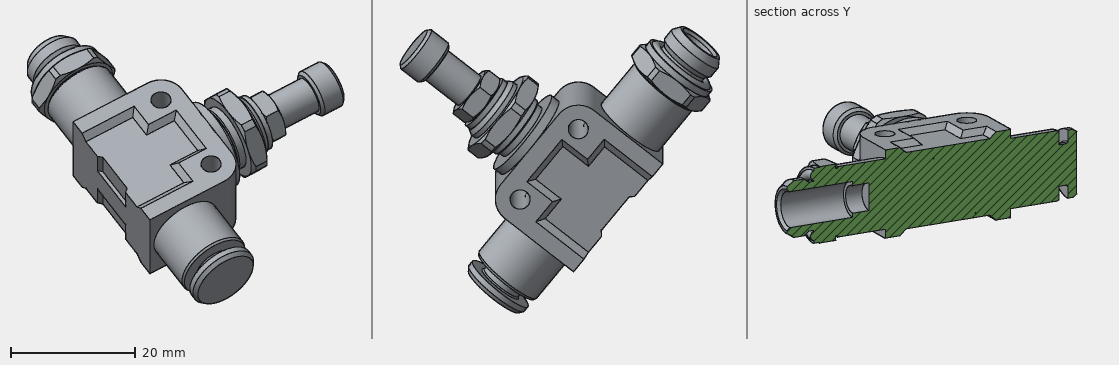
import cadquery as cq
import math


hexagon_corner_ratio = 1 / math.cos(math.radians(30))
nut_chamfer_angle = 30.0

block_width = 23.0
block_thickness = 15.0
block_front_y = -6.75
block_back_y = 11.5
block_corner_radius = 4.0
mount_hole_diameter = 3.2
mount_hole_offset = 7.5

recess_depth = 1.0
recess_half_width = 8.8
recess_floor_half_width = 7.65
recess_step_y = 3.2
recess_neck_half_width = 4.5
recess_top_y = 8.5

notch_depth = 0.65
notch_half_width = 4.25
notch_inner_z = 2.5

pipe_radius = 6.0
left_end_x = -29.5
left_face_radius = 4.0
nipple_radius = 4.85
nipple_front_x = -28.2
nipple_back_x = -26.35
nipple_neck_x = -25.5
nipple_neck_radius = 4.2
washer_x = -24.6
washer_radius = 6.4
seal_section_radius = 0.9
seal_tip_x = -25.2
pipe_nut_x = -23.5
pipe_nut_width = 3.0
pipe_nut_flats = 13.0
pipe_nut_corners = 14.5
pipe_left_x = -20.2
pipe_relief_radius = 5.75
pipe_right_x = 20.35
pipe_chamfer_length = 0.4
pipe_chamfer_height = 0.2

collar_neck_radius = 3.55
collar_x = 21.95
collar_radius = 5.8
collar_root_chamfer = 0.25
collar_chamfer_length = 0.7
collar_chamfer_height = 0.5
right_end_x = 23.6

bore_mouth_radius = 3.5
bore_radius = 3.0
bore_depth = 12.0
inner_bore_radius = 2.3
inner_bore_depth = 15.0

flange_radius = 7.5
flange_y = 13.0
barrel_neck_radius = 5.0
barrel_radius = 5.45
barrel_y = 14.1
barrel_chamfer = 0.2
barrel_cone_y = 19.3
barrel_shoulder_y = 20.1
barrel_cone_tip_radius = 4.95
barrel_tip_radius = 4.8
panel_nut_y = 15.5
panel_nut_width = 3.0
panel_nut_flats = 14.0
panel_nut_corners = 15.5
lock_nut_y = 21.0
lock_nut_width = 3.0
lock_nut_flats = 8.0
lock_nut_corners = lock_nut_flats * hexagon_corner_ratio
stem_radius = 3.0
knob_y = 31.0
knob_end_y = 35.5
knob_radius = 4.0
knob_chamfer = 0.5


def make_block():
    center_y = (block_front_y + block_back_y) / 2
    block = (
        cq.Workplane("XY")
        .center(0, center_y)
        .box(block_width, block_back_y - block_front_y, block_thickness)
        .edges("|Z and >Y")
        .fillet(block_corner_radius)
    )
    hole_centers = [(-mount_hole_offset, mount_hole_offset), (mount_hole_offset, mount_hole_offset)]
    holes = (
        cq.Workplane("XY")
        .pushPoints(hole_centers)
        .circle(mount_hole_diameter / 2)
        .extrude(block_thickness, both=True)
    )
    return block.cut(holes)


def make_sloped_pocket(face_half_width, floor_half_width, top_y):
    """Pocket cutter in the upper face with sloped walls, open through the front of the block."""
    floor_top_y = top_y - recess_depth
    face_center_y = (block_front_y + top_y) / 2
    floor_center_y = (block_front_y + floor_top_y) / 2
    return (
        cq.Workplane("XY", origin=(0, 0, block_thickness / 2))
        .center(0, face_center_y)
        .rect(2 * face_half_width, top_y - block_front_y)
        .workplane(offset=-recess_depth)
        .center(0, floor_center_y - face_center_y)
        .rect(2 * floor_half_width, floor_top_y - block_front_y)
        .loft(ruled=True)
    )


def make_recess():
    """T-shaped recess cutter made of a wide pocket and a longer narrow one."""
    wide = make_sloped_pocket(recess_half_width, recess_floor_half_width, recess_step_y)
    neck_floor_half_width = recess_neck_half_width - recess_depth
    neck = make_sloped_pocket(recess_neck_half_width, neck_floor_half_width, recess_top_y)
    return wide.union(neck)


def make_notch():
    """Notch cutter for the upper half of the front face, with 45 degree side walls."""
    floor_y = block_front_y + notch_depth
    floor_half_width = notch_half_width - notch_depth
    outline = [
        (-notch_half_width, block_front_y),
        (notch_half_width, block_front_y),
        (floor_half_width, floor_y),
        (-floor_half_width, floor_y),
    ]
    return (
        cq.Workplane("XY", origin=(0, 0, notch_inner_z))
        .polyline(outline)
        .close()
        .extrude(block_thickness / 2 - notch_inner_z)
    )


def revolve_about_x(outline):
    """Solid of revolution from (x, radius) points."""
    return cq.Workplane("XY").polyline(outline).close().revolve(360, (0, 0), (1, 0))


def revolve_about_y(outline):
    """Solid of revolution from (radius, y) points."""
    return cq.Workplane("XY").polyline(outline).close().revolve(360, (0, 0), (0, 1))


def make_nut(plane, flats, corners, width):
    """Hexagon nut extruded along the plane normal, its corners turned down and chamfered."""
    hexagon = plane.polygon(6, flats * hexagon_corner_ratio).extrude(width)
    chamfer_height = (corners - flats) / 2
    chamfer_length = chamfer_height * math.tan(math.radians(nut_chamfer_angle))
    middle = plane.workplane(offset=chamfer_length).circle(corners / 2).extrude(width - 2 * chamfer_length)
    taper = 90 - nut_chamfer_angle
    near_end = (
        plane.workplane(offset=chamfer_length)
        .circle(corners / 2)
        .extrude(-chamfer_length, taper=taper)
    )
    far_end = (
        plane.workplane(offset=width - chamfer_length)
        .circle(corners / 2)
        .extrude(chamfer_length, taper=taper)
    )
    return hexagon.intersect(middle.union(near_end).union(far_end))


def make_pipe_run():
    """Left nipple, washer, both pipes and release collar as one turned body."""
    return revolve_about_x([
        (left_end_x, 0),
        (left_end_x, left_face_radius),
        (nipple_front_x, nipple_radius),
        (nipple_back_x, nipple_radius),
        (nipple_neck_x, nipple_neck_radius),
        (washer_x, nipple_neck_radius),
        (washer_x, washer_radius),
        (pipe_nut_x, washer_radius),
        (pipe_nut_x, pipe_relief_radius),
        (pipe_left_x, pipe_relief_radius),
        (pipe_left_x, pipe_radius),
        (pipe_right_x - pipe_chamfer_length, pipe_radius),
        (pipe_right_x, pipe_radius - pipe_chamfer_height),
        (pipe_right_x, collar_neck_radius),
        (collar_x - collar_root_chamfer, collar_neck_radius),
        (collar_x, collar_neck_radius + collar_root_chamfer),
        (collar_x, collar_radius),
        (right_end_x - collar_chamfer_length, collar_radius),
        (right_end_x, collar_radius - collar_chamfer_height),
        (right_end_x, 0),
    ])


def make_seal_ring():
    """Round-section ring lying on the nipple neck against the washer."""
    center_x = seal_tip_x + seal_section_radius
    center_radius = nipple_neck_radius + seal_section_radius
    return (
        cq.Workplane("XY")
        .center(center_x, center_radius)
        .circle(seal_section_radius)
        .revolve(360, (0, -center_radius), (1, -center_radius))
    )


def make_bore():
    mouth_chamfer = bore_mouth_radius - bore_radius
    return revolve_about_x([
        (left_end_x, 0),
        (left_end_x, bore_mouth_radius),
        (left_end_x + mouth_chamfer, bore_radius),
        (left_end_x + bore_depth, bore_radius),
        (left_end_x + bore_depth, inner_bore_radius),
        (left_end_x + inner_bore_depth, inner_bore_radius),
        (left_end_x + inner_bore_depth, 0),
    ])


def make_stem():
    """Flange, threaded barrel, stem and knob as one turned body."""
    return revolve_about_y([
        (0, block_back_y),
        (flange_radius, block_back_y),
        (flange_radius, flange_y),
        (barrel_neck_radius, flange_y),
        (barrel_neck_radius, barrel_y),
        (barrel_radius - barrel_chamfer, barrel_y),
        (barrel_radius, barrel_y + barrel_chamfer),
        (barrel_radius, barrel_cone_y),
        (barrel_cone_tip_radius, barrel_shoulder_y),
        (barrel_tip_radius, barrel_shoulder_y),
        (barrel_tip_radius, lock_nut_y),
        (stem_radius, lock_nut_y),
        (stem_radius, knob_y),
        (knob_radius - knob_chamfer, knob_y),
        (knob_radius, knob_y + knob_chamfer),
        (knob_radius, knob_end_y - knob_chamfer),
        (knob_radius - knob_chamfer, knob_end_y),
        (0, knob_end_y),
    ])


pipe_nut = make_nut(
    cq.Workplane("YZ", origin=(pipe_nut_x, 0, 0)),
    pipe_nut_flats,
    pipe_nut_corners,
    pipe_nut_width,
)
panel_nut = make_nut(
    cq.Workplane("XZ", origin=(0, panel_nut_y + panel_nut_width, 0)),
    panel_nut_flats,
    panel_nut_corners,
    panel_nut_width,
)
lock_nut = make_nut(
    cq.Workplane("XZ", origin=(0, lock_nut_y + lock_nut_width, 0)),
    lock_nut_flats,
    lock_nut_corners,
    lock_nut_width,
)

body = make_block()
for cutter in (make_recess(), make_notch()):
    body = body.cut(cutter).cut(cutter.mirror("XY"))
for part in (make_pipe_run(), make_stem(), make_seal_ring(), pipe_nut, panel_nut, lock_nut):
    body = body.union(part)

result = body.cut(make_bore())